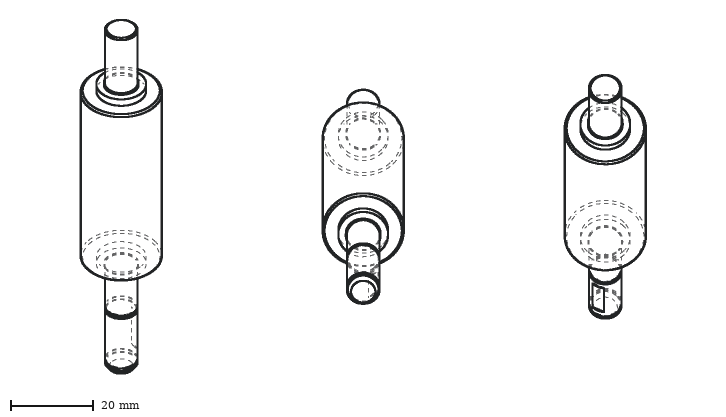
import cadquery as cq

total_length = 103.5
shaft_radius = 8.0 / 2
body_radius = 19.8 / 2
body_bottom = 33.5
body_top = 84.6
body_chamfer = 0.5

collar_radius = 12.1 / 2
collar_height = 2.0
ring_radius = 8.5 / 2
ring_height = 0.3

top_chamfer = 0.4
tip_radius = 5.9 / 2
tip_height = 1.5

groove_depth = 0.3
groove_width = 0.9
groove_bottoms = (tip_height, 17.6)

flat_bottom = 4.6
flat_top = 15.7
flat_depth = 0.3


def cylinder(radius, bottom, top):
    return cq.Workplane("XY").workplane(offset=bottom).circle(radius).extrude(top - bottom)


def make_shaft():
    shaft = cylinder(shaft_radius, 0, total_length).faces(">Z").chamfer(top_chamfer)
    return shaft.faces("<Z").chamfer(tip_height, shaft_radius - tip_radius)


def cut_groove(shaft, bottom):
    top = bottom + groove_width
    core = cylinder(shaft_radius - groove_depth, bottom, top)
    return shaft.cut(cylinder(body_radius, bottom, top).cut(core))


def cut_flat(shaft):
    cutter = cq.Workplane("XY").box(
        2 * shaft_radius, shaft_radius, flat_top - flat_bottom, centered=(True, False, False)
    )
    return shaft.cut(cutter.translate((0, shaft_radius - flat_depth, flat_bottom)))


def make_body():
    body = cylinder(body_radius, body_bottom, body_top).faces("<Z or >Z").chamfer(body_chamfer)
    collar = cylinder(collar_radius, body_bottom - collar_height, body_top + collar_height)
    ring_reach = collar_height + ring_height
    ring = cylinder(ring_radius, body_bottom - ring_reach, body_top + ring_reach)
    return body.union(collar).union(ring)


shaft = make_shaft()
for groove_bottom in groove_bottoms:
    shaft = cut_groove(shaft, groove_bottom)
shaft = cut_flat(shaft)

result = shaft.union(make_body())